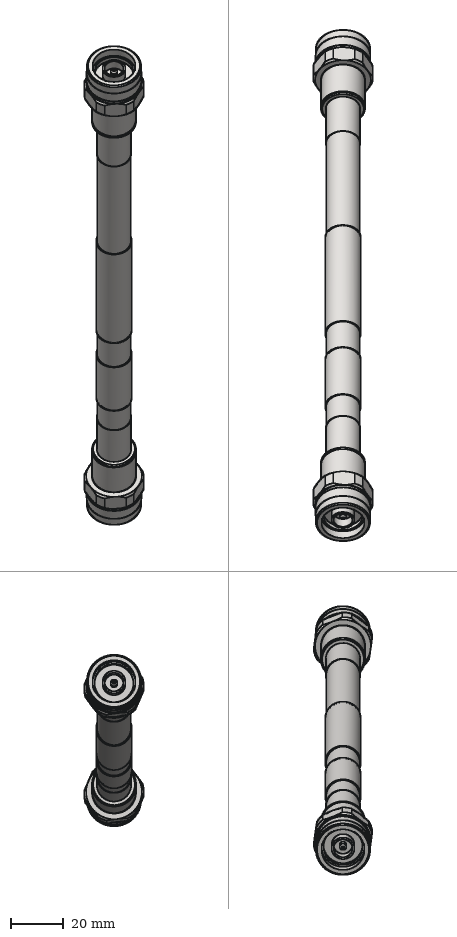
import cadquery as cq
import math

TOTAL_LENGTH = 253.5
END_Z = TOTAL_LENGTH / 2

CABLE_RADIUS = 6.3
SHRINK_WALL = 0.18
LABEL_WALL = 0.4
SHRINK_RADIUS = CABLE_RADIUS + SHRINK_WALL
LABEL_RADIUS = CABLE_RADIUS + LABEL_WALL
SHRINK_END_Z = 76.0
LABEL_SPANS = [(-25.5, 25.5), (-64.6, -39.5)]

HEX_ACROSS_FLATS = 21.0
HEX_ACROSS_CORNERS = 22.5
HEX_CHAMFER_HEIGHT = 0.8
HEX_FRONT_DEPTH = 10.0
NUT_BACK_DEPTH = 17.0
GRIP_RADIUS = 10.5
GRIP_STEP = 0.1
GRIP_FRONT_DEPTH = 4.0
GRIP_BACK_DEPTH = 8.5
COLLAR_RADIUS = GRIP_RADIUS - GRIP_STEP
RIM_CHAMFER = 0.5

BORE_RADIUS = 8.0
BORE_DEPTH = 3.5
RECESS_RADIUS = 7.4
RECESS_DEPTH = 5.5
CONTACT_OUTER_RADIUS = 4.3
CONTACT_INNER_RADIUS = 3.5
CONTACT_DEPTH = 1.5
PIN_RADIUS = 1.3
PIN_CHAMFER = 0.8
PIN_TIP_DEPTH = 2.5

BOOT_RADIUS = 8.4
BOOT_DEPTH = 32.5
BOOT_CHAMFER = 0.5
BOOT_END_WALL = 1.3
NECK_RADIUS = BOOT_RADIUS - SHRINK_WALL
NECK_DEPTH = BOOT_DEPTH - BOOT_END_WALL


def cylinder(radius, low_z, high_z):
    """Solid cylinder on the Z axis between two heights."""
    return cq.Workplane("XY", origin=(0, 0, low_z)).circle(radius).extrude(high_z - low_z)


def plug_cylinder(radius, front_depth, back_depth):
    """Solid cylinder between two depths below the open face of the upper plug."""
    return cylinder(radius, END_Z - back_depth, END_Z - front_depth)


def make_hexagon():
    """Hexagon with flats facing +-X, its corners turned down and chamfered at both ends."""
    corner_radius = HEX_ACROSS_CORNERS / 2
    sharp_diameter = HEX_ACROSS_FLATS / math.cos(math.pi / 6)
    hexagon = (
        cq.Workplane("XY", origin=(0, 0, END_Z - NUT_BACK_DEPTH))
        .polygon(6, sharp_diameter)
        .extrude(NUT_BACK_DEPTH - HEX_FRONT_DEPTH)
        .rotate((0, 0, 0), (0, 0, 1), 30)
    )
    chamfer_width = corner_radius - HEX_ACROSS_FLATS / 2
    envelope = plug_cylinder(corner_radius, HEX_FRONT_DEPTH, NUT_BACK_DEPTH)
    for end in ("<Z", ">Z"):
        face = envelope.faces(end)
        envelope = face.chamfer(HEX_CHAMFER_HEIGHT, chamfer_width)
    return hexagon.intersect(envelope)


def make_connector():
    """Upper plug: collar, grip band, hexagon and neck around a socket with contact tube and pin."""
    collar = plug_cylinder(COLLAR_RADIUS, 0, HEX_FRONT_DEPTH).faces(">Z").edges().chamfer(RIM_CHAMFER)
    grip = plug_cylinder(GRIP_RADIUS, GRIP_FRONT_DEPTH, GRIP_BACK_DEPTH)
    neck = plug_cylinder(NECK_RADIUS, NUT_BACK_DEPTH, NECK_DEPTH)
    shell = make_hexagon().union(collar).union(grip).union(neck)
    shell = shell.cut(plug_cylinder(BORE_RADIUS, 0, BORE_DEPTH))
    shell = shell.cut(plug_cylinder(RECESS_RADIUS, BORE_DEPTH, RECESS_DEPTH))

    contact = plug_cylinder(CONTACT_OUTER_RADIUS, CONTACT_DEPTH, RECESS_DEPTH)
    contact = contact.cut(plug_cylinder(CONTACT_INNER_RADIUS, CONTACT_DEPTH, RECESS_DEPTH))
    pin = plug_cylinder(PIN_RADIUS, PIN_TIP_DEPTH, RECESS_DEPTH).faces(">Z").edges().chamfer(PIN_CHAMFER)
    return shell.union(contact).union(pin)


def make_shrink():
    """Upper shrink tube: a wide boot over the neck that steps down to a thin sleeve on the cable."""
    boot = plug_cylinder(BOOT_RADIUS, NUT_BACK_DEPTH, BOOT_DEPTH).faces("<Z").edges().chamfer(BOOT_CHAMFER)
    sleeve = cylinder(SHRINK_RADIUS, SHRINK_END_Z, END_Z - BOOT_DEPTH)
    neck_space = plug_cylinder(NECK_RADIUS, NUT_BACK_DEPTH, NECK_DEPTH)
    cable_space = cylinder(CABLE_RADIUS, SHRINK_END_Z, END_Z - NECK_DEPTH)
    return boot.union(sleeve).cut(neck_space).cut(cable_space)


def make_label(low_z, high_z):
    """Thin label sleeve around the cable."""
    return cylinder(LABEL_RADIUS, low_z, high_z).cut(cylinder(CABLE_RADIUS, low_z, high_z))


def both_ends(body):
    """The upper body and its mirror image at the lower end, as separate solids."""
    return [body.val(), body.mirror("XY").val()]


cable = cylinder(CABLE_RADIUS, NECK_DEPTH - END_Z, END_Z - NECK_DEPTH)
labels = [make_label(low_z, high_z).val() for low_z, high_z in LABEL_SPANS]
connectors = both_ends(make_connector())
shrinks = both_ends(make_shrink())

result = cq.Compound.makeCompound([cable.val(), *labels, *connectors, *shrinks])